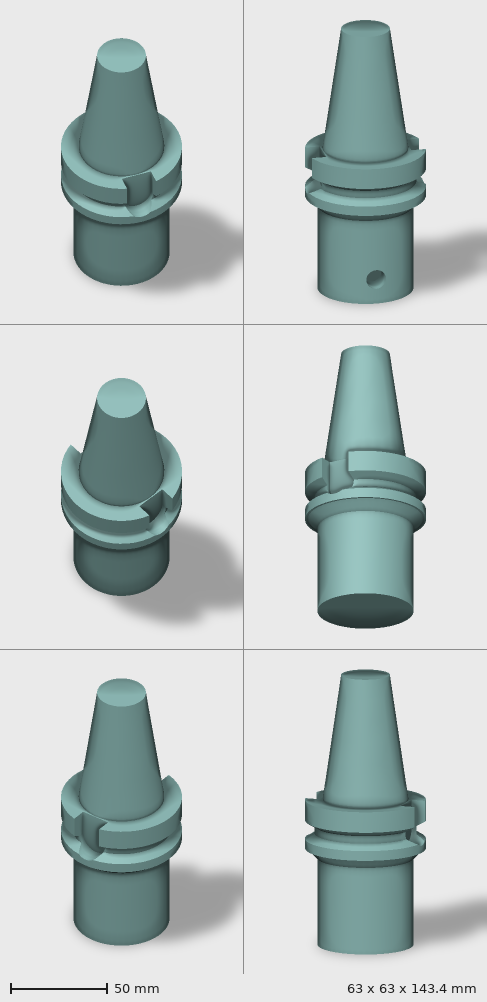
import cadquery as cq

total_length = 143.4

taper_large_diameter = 44.5
taper_length = 65.4
taper_ratio = 7 / 24
taper_small_diameter = taper_large_diameter - taper_length * taper_ratio
gauge_z = total_length - taper_length
collar_height = 1.0

flange_diameter = 63.0
flange_top_z = gauge_z - collar_height
upper_rim_height = 10.9
groove_diameter = 53.0
groove_flank_height = 2.9
groove_floor_height = 4.0
lower_rim_height = 5.2
groove_top_z = flange_top_z - upper_rim_height
groove_floor_top_z = groove_top_z - groove_flank_height
groove_floor_bottom_z = groove_floor_top_z - groove_floor_height
groove_bottom_z = groove_floor_bottom_z - groove_flank_height
flange_bottom_z = groove_bottom_z - lower_rim_height

shank_diameter = 50.0
cone_height = 5.2
cone_large_diameter = shank_diameter + 2 * cone_height
shank_top_z = flange_bottom_z - cone_height

slot_width = 16.0
slot_floor_x = 22.7
slot_bottom_z = 54.9

screw_hole_diameter = 10.3
screw_hole_z = 13.3
screw_hole_depth = 11.0


def make_body():
    """Revolve the half profile of shank, flange and taper about Z."""
    diameters_and_heights = [
        (shank_diameter, 0),
        (shank_diameter, shank_top_z),
        (cone_large_diameter, flange_bottom_z),
        (flange_diameter, flange_bottom_z),
        (flange_diameter, groove_bottom_z),
        (groove_diameter, groove_floor_bottom_z),
        (groove_diameter, groove_floor_top_z),
        (flange_diameter, groove_top_z),
        (flange_diameter, flange_top_z),
        (taper_large_diameter, flange_top_z),
        (taper_large_diameter, gauge_z),
        (taper_small_diameter, total_length),
    ]
    outline = cq.Workplane("XZ").moveTo(0, 0)
    for diameter, z in diameters_and_heights:
        outline = outline.lineTo(diameter / 2, z)
    outline = outline.lineTo(0, total_length).close()
    return outline.revolve(360, (0, 0, 0), (0, 1, 0))


def make_slot_cutter():
    """Slot on the +X side, open at the flange top and rounded below."""
    half_width = slot_width / 2
    arc_center_z = slot_bottom_z + half_width
    return (
        cq.Workplane("YZ", origin=(slot_floor_x, 0, 0))
        .moveTo(-half_width, flange_top_z)
        .lineTo(-half_width, arc_center_z)
        .threePointArc((0, slot_bottom_z), (half_width, arc_center_z))
        .lineTo(half_width, flange_top_z)
        .close()
        .extrude(flange_diameter / 2)
    )


def make_screw_hole_cutter():
    """Cylinder along Y that reaches out of the +Y side of the shank."""
    floor_y = shank_diameter / 2 - screw_hole_depth
    return (
        cq.Workplane("XZ", origin=(0, floor_y, screw_hole_z))
        .circle(screw_hole_diameter / 2)
        .extrude(-shank_diameter / 2)
    )


result = make_body()
for slot_angle in (0, 180):
    result = result.cut(make_slot_cutter().rotate((0, 0, 0), (0, 0, 1), slot_angle))
result = result.cut(make_screw_hole_cutter())